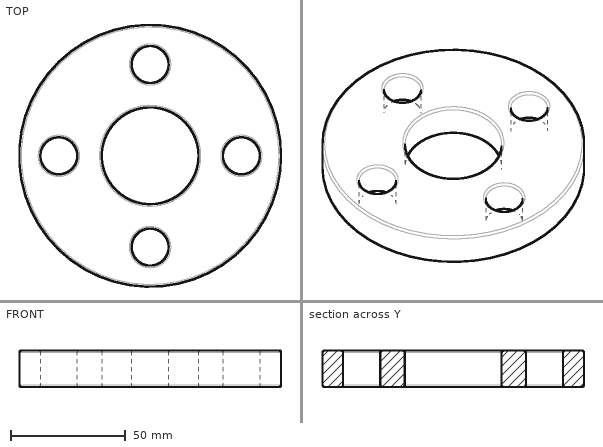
import cadquery as cq

disc_diameter = 114.0
thickness = 16.0
bore_diameter = 42.0
bolt_hole_diameter = 16.0
bolt_circle_diameter = 79.4
bolt_hole_count = 4
edge_radius = 1.0


def disc_with_bore():
    """Flat ring resting on Z = 0, centred on the Z axis."""
    return cq.Workplane("XY").circle(disc_diameter / 2).circle(bore_diameter / 2).extrude(thickness)


def bolt_hole_cutters():
    """Through-hole cylinders equally spaced on the bolt circle, the first on the +X axis."""
    return (
        cq.Workplane("XY")
        .polarArray(bolt_circle_diameter / 2, 0, 360, bolt_hole_count)
        .circle(bolt_hole_diameter / 2)
        .extrude(thickness)
    )


def round_face_edges(body):
    """Round the rim, bore and bolt-hole edges on both flat faces."""
    return body.faces("<Z or >Z").edges().fillet(edge_radius)


result = round_face_edges(disc_with_bore().cut(bolt_hole_cutters()))